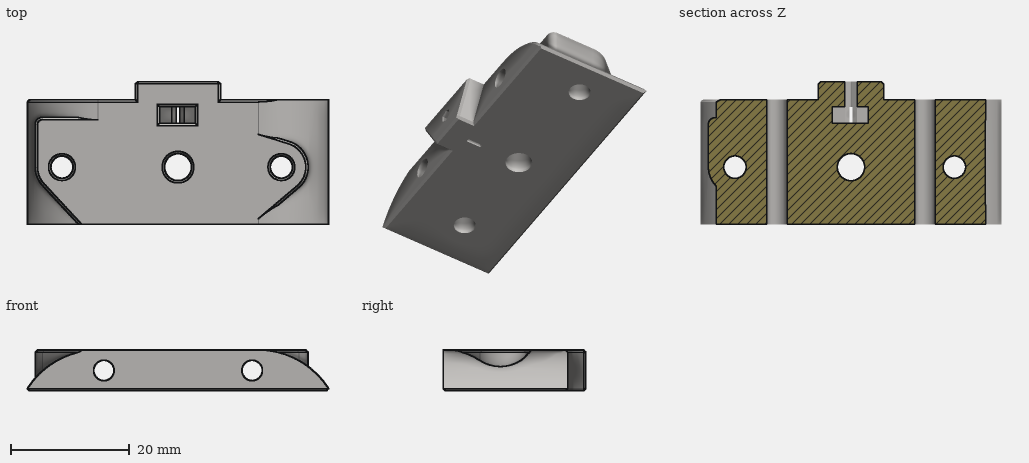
import cadquery as cq
import math

length = 50.7
depth = 21.0
height = 6.9
edge_break = 0.4
tab_width = 14.4
tab_back = 24.05
tab_side_angle = 29.0

flat_half_width = 13.5
rim_height = 0.4

pin_y = 9.65
left_pin_x = -19.55
right_pin_x = 17.4
pad_radius = 4.5
left_pad_back = 18.0
left_pad_corner = 1.15
left_pad_front_x = -16.75
right_pad_front = (13.5, 0.4)
right_pad_back = (13.5, 15.55)

pin_hole_diameter = 3.7
centre_hole_diameter = 4.5
cross_hole_diameter = 3.4
cross_hole_x = 12.5
cross_hole_z = 3.45

window_length = 6.0
window_width = 2.75
window_x = -0.1
window_y = 18.4
window_floor = 3.15
slit_width = 0.55
channel_width = 2.1
channel_z = 3.65


def tangent_point(point, centre, radius, side):
    """Touch point of a line from point to a circle; side picks which of the two."""
    dx = point[0] - centre[0]
    dy = point[1] - centre[1]
    angle = math.atan2(dy, dx) + side * math.acos(radius / math.hypot(dx, dy))
    return (centre[0] + radius * math.cos(angle), centre[1] + radius * math.sin(angle))


def make_block():
    """Rectangular block with its underside and its upper rear edge broken."""
    block = cq.Workplane("XY").box(length, depth, height, centered=(True, False, False))
    block = block.faces("<Z").edges().chamfer(edge_break)
    return block.faces(">Z").edges(">Y").chamfer(edge_break)


def make_tab():
    """Rear tab whose sides lean inward towards the underside."""
    half = tab_width / 2
    taper = math.tan(math.radians(tab_side_angle))
    lower_half = half - (height - 2 * edge_break) * taper
    right_side = [(lower_half - edge_break, 0), (lower_half, edge_break)]
    right_side += [(half, height - edge_break), (half - edge_break, height)]
    left_side = [(-x, z) for x, z in reversed(right_side)]
    tab = cq.Workplane("XZ", origin=(0, pin_y, 0)).polyline(right_side + left_side).close()
    tab = tab.extrude(pin_y - tab_back)
    return tab.faces(">Y").edges().chamfer(edge_break)


def make_shoulder_bar():
    """Full-depth bar whose ends fall away in arcs tangent to the top face."""
    half = length / 2
    run = half - flat_half_width
    drop = height - rim_height
    radius = (run**2 + drop**2) / (2 * drop)
    half_angle = math.asin(run / radius) / 2
    mid_x = flat_half_width + radius * math.sin(half_angle)
    mid_z = height - radius * (1 - math.cos(half_angle))
    return (
        cq.Workplane("XZ")
        .moveTo(-half, 0)
        .lineTo(half, 0)
        .lineTo(half, rim_height)
        .threePointArc((mid_x, mid_z), (flat_half_width, height))
        .lineTo(-flat_half_width, height)
        .threePointArc((-mid_x, mid_z), (-half, rim_height))
        .close()
        .extrude(-depth)
    )


def make_shoulders():
    """Shoulder bar whose left half also has its curved rear edge broken."""
    bar = make_shoulder_bar()
    bevelled_bar = bar.faces(">Y").edges("not(<Z or |Z)").chamfer(edge_break)
    right_half = cq.Workplane("XY").box(length / 2, depth, height, centered=False)
    left_half = right_half.mirror("YZ")
    return bevelled_bar.intersect(left_half).union(bar.intersect(right_half))


def make_left_pad():
    """Square-backed pad rounded about the left pin hole, with a broken top edge."""
    centre = (left_pin_x, pin_y)
    side_x = left_pin_x - pad_radius
    front = (left_pad_front_x, 0)
    touch = tangent_point(front, centre, pad_radius, -1)
    mid_angle = (math.pi + math.atan2(touch[1] - pin_y, touch[0] - left_pin_x) % (2 * math.pi)) / 2
    mid = (left_pin_x + pad_radius * math.cos(mid_angle), pin_y + pad_radius * math.sin(mid_angle))
    pad = (
        cq.Workplane("XY")
        .moveTo(0, 0)
        .lineTo(*front)
        .lineTo(*touch)
        .threePointArc(mid, (side_x, pin_y))
        .lineTo(side_x, left_pad_back)
        .lineTo(0, left_pad_back)
        .close()
        .extrude(height)
    )
    rear_corner = cq.selectors.NearestToPointSelector((side_x, left_pad_back, height / 2))
    pad = pad.edges(rear_corner).fillet(left_pad_corner)
    return pad.faces(">Z").edges("not(<Y or >X)").chamfer(edge_break)


def make_right_pad():
    """Pad tapering from the flat top to a round end about the right pin hole."""
    centre = (right_pin_x, pin_y)
    front_touch = tangent_point(right_pad_front, centre, pad_radius, 1)
    back_touch = tangent_point(right_pad_back, centre, pad_radius, -1)
    pad = (
        cq.Workplane("XY")
        .moveTo(0, right_pad_front[1])
        .lineTo(*right_pad_front)
        .lineTo(*front_touch)
        .threePointArc((right_pin_x + pad_radius, pin_y), back_touch)
        .lineTo(*right_pad_back)
        .lineTo(0, right_pad_back[1])
        .close()
        .extrude(height)
    )
    return pad.faces(">Z").edges("not <X").chamfer(edge_break)


def chamfered_hole(x, y, diameter):
    """Cutter for a vertical through hole with a countersunk upper rim."""
    shaft = cq.Workplane("XY").center(x, y).circle(diameter / 2).extrude(height)
    rim = (
        cq.Workplane("XY", origin=(x, y, height))
        .circle(diameter / 2 + edge_break)
        .workplane(offset=-edge_break)
        .circle(diameter / 2)
        .loft()
    )
    return shaft.union(rim)


def make_window():
    """Cutter for the window, its chamfered rim, the hexagonal channel and the slit."""
    pocket_height = height - window_floor
    pocket = cq.Workplane("XY", origin=(window_x, window_y, window_floor))
    pocket = pocket.rect(window_length, window_width).extrude(pocket_height)
    rim = (
        cq.Workplane("XY", origin=(window_x, window_y, height))
        .rect(window_length + 2 * edge_break, window_width + 2 * edge_break)
        .workplane(offset=-edge_break)
        .rect(window_length, window_width)
        .loft()
    )
    window_front = window_y - window_width / 2
    channel = (
        cq.Workplane("XZ", origin=(0, window_front, channel_z))
        .transformed(rotate=(0, 0, 90))
        .polygon(6, channel_width / math.cos(math.pi / 6))
        .extrude(window_front - tab_back)
    )
    slit = cq.Workplane("XY", origin=(0, window_y, 0))
    slit = slit.rect(slit_width, window_width).extrude(window_floor)
    return pocket.union(rim).union(channel).union(slit)


def make_cross_holes():
    """Cutter for the pair of holes running front to back."""
    return (
        cq.Workplane("XZ")
        .pushPoints([(-cross_hole_x, cross_hole_z), (cross_hole_x, cross_hole_z)])
        .circle(cross_hole_diameter / 2)
        .extrude(-depth)
    )


block = make_block()
result = block.intersect(make_shoulders()).union(make_tab())
for pad in (make_left_pad(), make_right_pad()):
    result = result.union(block.intersect(pad))
result = result.cut(make_window()).cut(make_cross_holes())
result = result.cut(chamfered_hole(0, pin_y, centre_hole_diameter))
for pin_x in (left_pin_x, right_pin_x):
    result = result.cut(chamfered_hole(pin_x, pin_y, pin_hole_diameter))